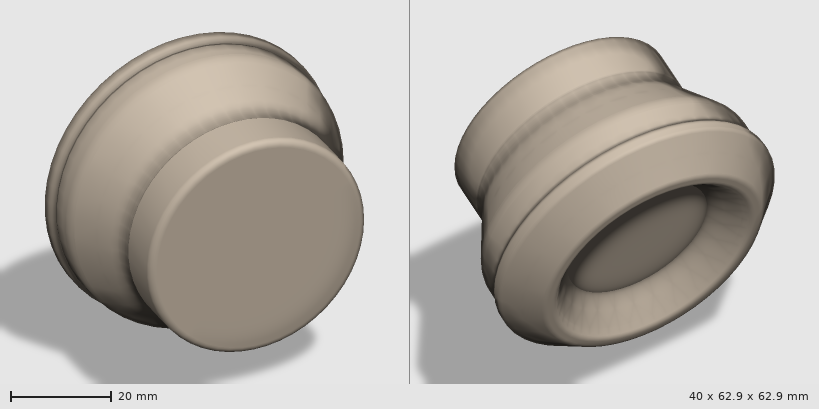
import cadquery as cq
import math

LENGTH = 40.0

RING_RADIUS = 31.45
RING_BACK = 10.0
CREST_START = 7.3
CREST_END = 8.4
CREST_ROUND = 1.3
RIM_INNER = 23.1
RIM_ROUND = 1.45
RING_BORE = 20.95

FLOOR_RADIUS = 15.85

DRUM_RADIUS = 61.0 / 2
DRUM_EDGE_RADIUS = 30.3
DRUM_START = 10.55
SHOULDER_START = 14.7
SHOULDER_ROUND = 5.05
SHOULDER_ANGLE = math.radians(30)
NECK_RADIUS = 47.6 / 2
NECK_END = 29.7
COLLAR_RADIUS = 48.0 / 2
COLLAR_START = 30.05
COLLAR_ROUND = 1.5

COS_45 = math.cos(math.radians(45))
RIM_SET = RIM_ROUND * (1 - COS_45)
WALL_RADIUS = RIM_INNER - RIM_ROUND * COS_45


def dish_depth(radius):
    """Depth of the 45 degree dish wall at a given radius."""
    return RIM_SET + WALL_RADIUS - radius


def arc_point(center, radius, degrees):
    """Point on a circle in the (x, radius) half plane."""
    angle = math.radians(degrees)
    return (center[0] + radius * math.cos(angle), center[1] + radius * math.sin(angle))


def revolve(profile):
    """Turn a closed (x, radius) outline about the X axis."""
    return profile.close().revolve(360, (0, 0, 0), (1, 0, 0))


def make_ring():
    crest_front = (CREST_START, RING_RADIUS - CREST_ROUND)
    crest_rear = (CREST_END, RING_RADIUS - CREST_ROUND)
    rim_inner = (RIM_ROUND, RIM_INNER)
    bevel_end = arc_point(crest_front, CREST_ROUND, 135)
    bevel_offset = bevel_end[1] - bevel_end[0]
    rim_outer = (RIM_ROUND, bevel_offset + RIM_ROUND - RIM_ROUND / COS_45)
    rear_bevel = arc_point(crest_rear, CREST_ROUND, 45)
    rear_radius = rear_bevel[1] - (RING_BACK - rear_bevel[0])

    profile = (
        cq.Workplane("XY")
        .moveTo(RING_BACK, RING_BORE)
        .lineTo(dish_depth(RING_BORE), RING_BORE)
        .lineTo(RIM_SET, WALL_RADIUS)
        .threePointArc(arc_point(rim_inner, RIM_ROUND, 202.5), (0, RIM_INNER))
        .lineTo(0, rim_outer[1])
        .threePointArc(arc_point(rim_outer, RIM_ROUND, 157.5), arc_point(rim_outer, RIM_ROUND, 135))
        .lineTo(*bevel_end)
        .threePointArc(arc_point(crest_front, CREST_ROUND, 112.5), (CREST_START, RING_RADIUS))
        .lineTo(CREST_END, RING_RADIUS)
        .threePointArc(arc_point(crest_rear, CREST_ROUND, 67.5), rear_bevel)
        .lineTo(RING_BACK, rear_radius)
    )
    return revolve(profile)


def make_knob():
    round_length = SHOULDER_ROUND * math.sin(SHOULDER_ANGLE)
    round_drop = SHOULDER_ROUND * (1 - math.cos(SHOULDER_ANGLE))
    half_length = SHOULDER_ROUND * math.sin(SHOULDER_ANGLE / 2)
    half_drop = SHOULDER_ROUND * (1 - math.cos(SHOULDER_ANGLE / 2))
    cone_drop = DRUM_RADIUS - NECK_RADIUS - 2 * round_drop
    cone_start = SHOULDER_START + round_length
    cone_end = cone_start + cone_drop / math.tan(SHOULDER_ANGLE)
    neck_start = cone_end + round_length
    collar_round = (LENGTH - COLLAR_ROUND, COLLAR_RADIUS - COLLAR_ROUND)

    profile = (
        cq.Workplane("XY")
        .moveTo(dish_depth(FLOOR_RADIUS), 0)
        .lineTo(dish_depth(FLOOR_RADIUS), FLOOR_RADIUS)
        .lineTo(dish_depth(RING_BORE), RING_BORE)
        .lineTo(RING_BACK, RING_BORE)
        .lineTo(RING_BACK, DRUM_EDGE_RADIUS)
        .lineTo(DRUM_START, DRUM_RADIUS)
        .lineTo(SHOULDER_START, DRUM_RADIUS)
        .threePointArc(
            (SHOULDER_START + half_length, DRUM_RADIUS - half_drop),
            (cone_start, DRUM_RADIUS - round_drop),
        )
        .lineTo(cone_end, NECK_RADIUS + round_drop)
        .threePointArc((neck_start - half_length, NECK_RADIUS + half_drop), (neck_start, NECK_RADIUS))
        .lineTo(NECK_END, NECK_RADIUS)
        .lineTo(COLLAR_START, COLLAR_RADIUS)
        .lineTo(collar_round[0], COLLAR_RADIUS)
        .threePointArc(arc_point(collar_round, COLLAR_ROUND, 45), (LENGTH, collar_round[1]))
        .lineTo(LENGTH, 0)
    )
    return revolve(profile)


ring = make_ring()
knob = make_knob()

result = cq.Compound.makeCompound([ring.val(), knob.val()])